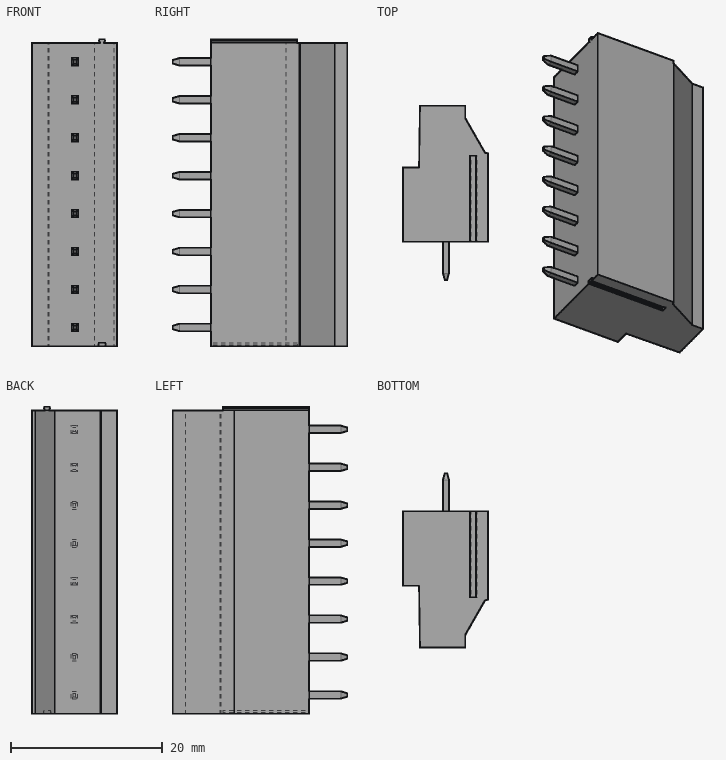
import cadquery as cq


pole_count = 8
body_width = 11.2
body_depth = 18.0
body_height = 40.0
pole_pitch = body_height / pole_count

shelf_depth = 9.85
shelf_width = 2.1
drafted_wall_x = 2.23
back_right_x = 8.22
slope_top_y = 16.32
slope_foot_x = 10.8
slope_foot_y = 11.8
ledge_outer_y = 11.65

key_x = 9.25
key_length = 11.4
key_height = 0.5
key_neck_width = 0.55
key_middle_width = 0.8
key_crest_width = 0.7
groove_clearance = 0.15

pin_x = 5.65
pin_width = 0.8
pin_thickness = 1.0
pin_length = 5.02
pin_taper_length = 0.9
pin_tip_width = 0.32
pin_tip_thickness = 0.5
pin_shank_length = pin_length - pin_taper_length


def make_housing():
    profile = [
        (0, 0),
        (body_width, 0),
        (body_width, ledge_outer_y),
        (slope_foot_x, slope_foot_y),
        (back_right_x, slope_top_y),
        (back_right_x, body_depth),
        (drafted_wall_x, body_depth),
        (shelf_width, shelf_depth),
        (0, shelf_depth),
    ]
    return cq.Workplane("XY").polyline(profile).close().extrude(body_height)


def make_key_bar(base_z, extra_width=0):
    """Bar along Y from the pin face, widest at half height and tapering to neck and crest."""
    half_neck = (key_neck_width + extra_width) / 2
    half_middle = (key_middle_width + extra_width) / 2
    half_crest = (key_crest_width + extra_width) / 2
    middle_z = base_z + key_height / 2
    crest_z = base_z + key_height
    section = [
        (key_x - half_neck, base_z),
        (key_x + half_neck, base_z),
        (key_x + half_middle, middle_z),
        (key_x + half_crest, crest_z),
        (key_x - half_crest, crest_z),
        (key_x - half_middle, middle_z),
    ]
    return cq.Workplane("XZ").polyline(section).close().extrude(-key_length)


def make_pin(center_z):
    """Rectangular pin with a tapered tip, rooted in the pin face."""
    shank = (
        cq.Workplane("XZ")
        .center(pin_x, center_z)
        .rect(pin_width, pin_thickness)
        .extrude(pin_shank_length)
    )
    tip = (
        cq.Workplane("XZ", origin=(pin_x, -pin_shank_length, center_z))
        .rect(pin_width, pin_thickness)
        .workplane(offset=pin_taper_length)
        .rect(pin_tip_width, pin_tip_thickness)
        .loft(ruled=True)
    )
    return shank.union(tip)


rib = make_key_bar(body_height)
groove = make_key_bar(0, groove_clearance)

result = make_housing().union(rib).cut(groove)
for pole in range(pole_count):
    result = result.union(make_pin((pole + 0.5) * pole_pitch))